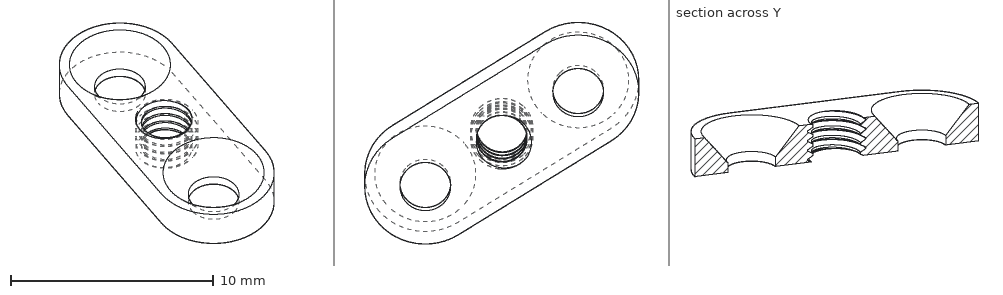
import cadquery as cq
import math

length = 15.0
width = 6.0
thickness = 2.0
screw_spacing = length - width

screw_diameter = 2.5
countersink_diameter = 5.0
countersink_angle = 80.0

minor_diameter = 2.5
major_diameter = 3.09
pitch = 0.5
thread_angle = 60.0
root_flat = pitch / 16
profile_overlap = 0.05


def make_plate():
    return cq.Workplane("XY").slot2D(length, width).extrude(thickness)


def cut_screw_holes(body):
    return (
        body.faces(">Z")
        .workplane(origin=(0, 0, thickness))
        .pushPoints([(-screw_spacing / 2, 0), (screw_spacing / 2, 0)])
        .cskHole(screw_diameter, countersink_diameter, countersink_angle)
    )


def make_thread_groove():
    """Helical trapezoidal groove whose root meets the top face on the -Y side."""
    inner_radius = minor_diameter / 2 - profile_overlap
    outer_radius = major_diameter / 2
    root_half = root_flat / 2
    flank_rise = (outer_radius - inner_radius) * math.tan(math.radians(thread_angle / 2))
    mouth_half = root_half + flank_rise

    turns_below = math.ceil(thickness / pitch) + 1
    helix_height = (turns_below + 1) * pitch
    helix = cq.Wire.makeHelix(pitch, helix_height, inner_radius)
    groove = (
        cq.Workplane("XZ")
        .polyline([
            (inner_radius, -mouth_half),
            (outer_radius, -root_half),
            (outer_radius, root_half),
            (inner_radius, mouth_half),
        ])
        .close()
        .sweep(cq.Workplane(obj=helix), isFrenet=True)
    )
    return (
        groove.rotate((0, 0, 0), (0, 0, 1), -90)
        .translate((0, 0, thickness - turns_below * pitch))
    )


def cut_threaded_hole(body):
    bore = cq.Workplane("XY").circle(minor_diameter / 2).extrude(thickness)
    return body.cut(make_thread_groove()).cut(bore)


plate = cut_screw_holes(make_plate())
result = cut_threaded_hole(plate)